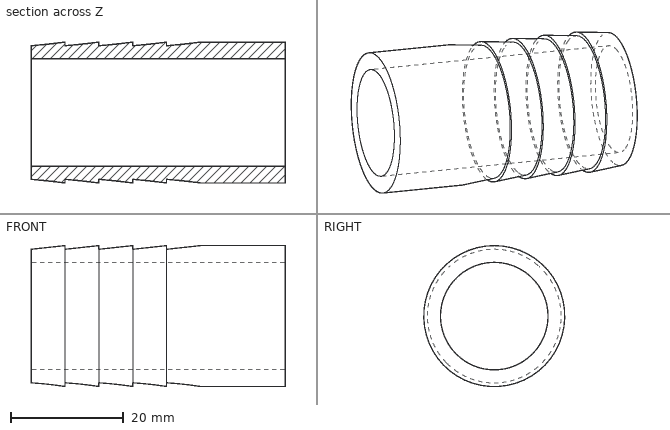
import cadquery as cq

total_length = 45.0
outer_diameter = 25.0
bore_diameter = 19.0
barb_root_diameter = 23.7
barb_count = 5
barb_length = 6.0

outer_radius = outer_diameter / 2
bore_radius = bore_diameter / 2
barb_root_radius = barb_root_diameter / 2


def wall_section():
    """Closed half section of the tube wall, with X along the axis and Z as radius."""
    section = cq.Workplane("XZ").moveTo(0, bore_radius)
    for barb in range(barb_count):
        barb_start = barb * barb_length
        section = section.lineTo(barb_start, barb_root_radius)
        section = section.lineTo(barb_start + barb_length, outer_radius)
    section = section.lineTo(total_length, outer_radius)
    section = section.lineTo(total_length, bore_radius)
    return section.close()


result = wall_section().revolve(360, (0, 0, 0), (1, 0, 0))